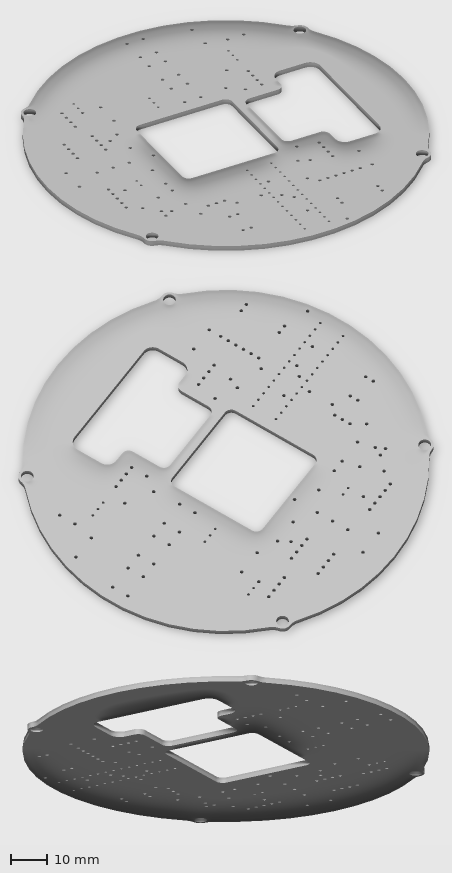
import cadquery as cq
import math

BOARD_DIAMETER = 112.0
THICKNESS = 1.6

MOUNT_X = 35.0
MOUNT_Y = 42.5
MOUNT_HOLE_DIAMETER = 3.5
EAR_RADIUS = 2.5
EAR_BLEND_RADIUS = 4.5

HEAD_WIDTH = 40.0
HEAD_TOP = 38.9
HEAD_BOTTOM = 25.0
STEM_WIDTH = 24.0
STEM_BOTTOM = 11.9
HEAD_CORNER_RADIUS = 3.0

SQUARE_SIDE = 30.0
SQUARE_TOP = 9.1

WINDOW_CORNER_RADIUS = 2.1

HEADER_PINS = 14
HEADER_LENGTH = 32.9
PIN_STEPS = 2
GRID = HEADER_LENGTH / (PIN_STEPS * (HEADER_PINS - 1))
SMALL_HOLE_DIAMETER = 0.76
LARGE_HOLE_DIAMETER = 1.0

TOLERANCE = 0.01

SMALL_RUNS = [
    (15, 3, HEADER_PINS, PIN_STEPS, 0),
    (15, -3, HEADER_PINS, PIN_STEPS, 0),
    (-28, 16, 3, 2, 0),
    (-20, -8, 3, 2, 0),
    (-26, -23.5, 2, 2, 0),
    (7, -26, 2, 2, 0),
]
LARGE_RUNS = [
    (-32, 22, 2, 0, -4),
    (-19, 16, 4, 2, 0),
    (-39, 13, 2, 6, 0),
    (-21.5, 12, 1, 0, 0),
    (-13, 12, 1, 0, 0),
    (-15.5, 8.5, 1, 0, 0),
    (-41, 2, 2, 6, 0),
    (-31, 2, 2, 6, 0),
    (-21, 2, 2, 6, 0),
    (-41, -2, 2, 6, 0),
    (-31, -2, 2, 6, 0),
    (-21, -2, 2, 6, 0),
    (20, 22, 2, 6, 0),
    (26, 19, 6, 0, -2),
    (34, 19, 2, 2, 0),
    (34, 9, 2, 2, 0),
    (13, 16, 4, 2, 0),
    (12, 11, 2, 6, 0),
    (17, 8.5, 1, 0, 0),
    (24, 7, 2, 18, 0),
    (29, 1, 2, 6, 0),
    (21, -1, 2, 6, 0),
    (25, -5, 2, 0, -6),
    (23, -13, 3, 6, 0),
    (23, -15, 3, 6, 0),
    (23, -17, 1, 0, 0),
    (25, -20, 1, 0, 0),
    (5, -21, 2, 6, 0),
    (14, -21, 2, 6, 0),
    (15, -25, 2, 6, 0),
    (20, -27, 2, 2, 0),
    (9, -30, 2, 8, 0),
    (7, -33, 5, 2, 0),
    (0, -18, 2, 0, -6),
    (0, -28, 2, 0, -4),
    (-3, -38, 2, 6, 0),
    (-22, -19, 2, 6, 0),
    (-11, -21, 2, 6, 0),
    (-22, -23.5, 1, 0, 0),
    (-9.5, -23.5, 1, 0, 0),
    (-13, -26, 4, 2, 0),
    (-24, -27.5, 4, 2, 0),
    (-13, -33, 4, 2, 0),
]


def mount_points():
    """Centres of the four mounting holes."""
    return [(sx * MOUNT_X, sy * MOUNT_Y) for sx in (-1, 1) for sy in (-1, 1)]


def run_points(runs):
    """Hole centres of all the runs, in length units."""
    points = []
    for x, y, count, x_step, y_step in runs:
        for i in range(count):
            points.append(((x + i * x_step) * GRID, (y + i * y_step) * GRID))
    return points


def block(width, bottom, top):
    """Plate-thick block centred on X."""
    return (
        cq.Workplane("XY")
        .center(0, (bottom + top) / 2)
        .rect(width, top - bottom)
        .extrude(THICKNESS)
    )


def drill(points, diameter):
    """Cylinders that cut round through-holes at the given points."""
    return cq.Workplane("XY").pushPoints(points).circle(diameter / 2).extrude(THICKNESS)


def is_ear_junction(edge):
    """True for upright edges where an ear meets the rim, not for the disc's own seam on the X axis."""
    centre = edge.Center()
    on_rim = math.isclose(math.hypot(centre.x, centre.y), BOARD_DIAMETER / 2, abs_tol=TOLERANCE)
    return on_rim and abs(centre.y) > TOLERANCE


def is_head_corner(edge):
    """True for upright edges at the outer ends of the window head."""
    return math.isclose(abs(edge.Center().x), HEAD_WIDTH / 2, abs_tol=TOLERANCE)


def is_stem_corner(edge):
    """True for upright edges at the sides of the window stem."""
    return math.isclose(abs(edge.Center().x), STEM_WIDTH / 2, abs_tol=TOLERANCE)


def make_board():
    disc = cq.Workplane("XY").circle(BOARD_DIAMETER / 2).extrude(THICKNESS)
    ears = cq.Workplane("XY").pushPoints(mount_points()).circle(EAR_RADIUS).extrude(THICKNESS)
    return disc.union(ears).edges("|Z").filter(is_ear_junction).fillet(EAR_BLEND_RADIUS)


def make_t_window():
    head = block(HEAD_WIDTH, HEAD_BOTTOM, HEAD_TOP)
    stem = block(STEM_WIDTH, STEM_BOTTOM, HEAD_TOP)
    window = head.union(stem)
    window = window.edges("|Z").filter(is_head_corner).fillet(HEAD_CORNER_RADIUS)
    return window.edges("|Z").filter(is_stem_corner).fillet(WINDOW_CORNER_RADIUS)


def make_square_window():
    window = block(SQUARE_SIDE, SQUARE_TOP - SQUARE_SIDE, SQUARE_TOP)
    return window.edges("|Z").fillet(WINDOW_CORNER_RADIUS)


result = (
    make_board()
    .cut(make_t_window())
    .cut(make_square_window())
    .cut(drill(mount_points(), MOUNT_HOLE_DIAMETER))
    .cut(drill(run_points(SMALL_RUNS), SMALL_HOLE_DIAMETER))
    .cut(drill(run_points(LARGE_RUNS), LARGE_HOLE_DIAMETER))
)